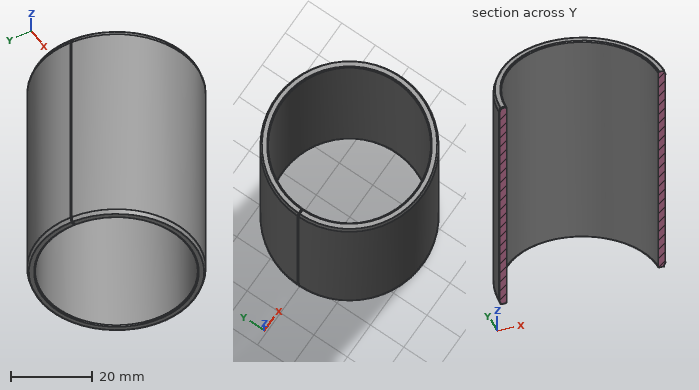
import cadquery as cq

length = 60.0
outer_diameter = 44.0
inner_diameter = 40.0
outer_bevel_height = 1.2
outer_bevel_depth = 0.4
inner_bevel = 0.3
slit_angle = 1.0

outer_radius = outer_diameter / 2
inner_radius = inner_diameter / 2
end_outer_radius = outer_radius - outer_bevel_depth
end_inner_radius = inner_radius + inner_bevel


def wall_section():
    """Section of the wall on the -X side, bevelled inside and outside at both ends."""
    points = [
        (-end_inner_radius, 0),
        (-end_outer_radius, 0),
        (-outer_radius, outer_bevel_height),
        (-outer_radius, length - outer_bevel_height),
        (-end_outer_radius, length),
        (-end_inner_radius, length),
        (-inner_radius, length - inner_bevel),
        (-inner_radius, inner_bevel),
    ]
    return cq.Workplane("XZ").polyline(points).close()


result = wall_section().revolve(360 - slit_angle, (0, 0), (0, 1))